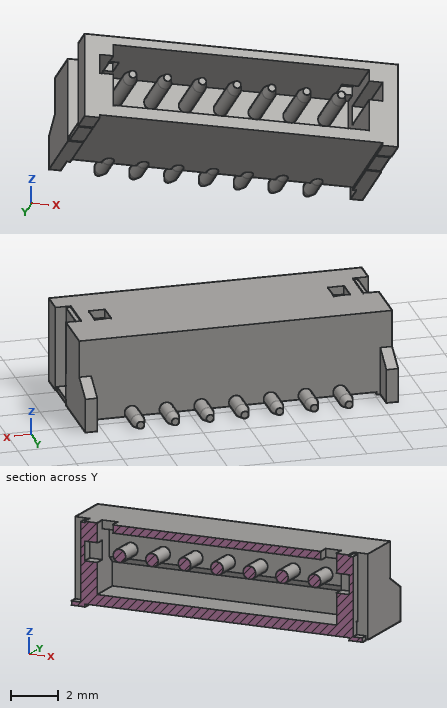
import cadquery as cq

length = 13.51
height = 3.73
body_depth = 5.0
ear_depth = 6.0
total_depth = 6.5
half_length = length / 2

ear_thickness = 0.51
ear_rear_height = 1.5
ear_root_height = 2.11

foot_width = 0.66
relief_height = 0.12

end_wall = 1.24
roof_thickness = 0.38
floor_top = 0.62
cavity_depth = 3.51
undercut_depth = 0.3
undercut_start = 1.97
undercut_full = 1.68
cavity_length = length - 2 * end_wall

keyway_bottom = 2.01
keyway_top = 2.85

window_length = 0.7
window_front = 1.82
window_back = 2.82

slot_front = 1.1
slot_back = 2.81
slot_depth = foot_width
tab_thickness = 0.2
tab_top = 3.67
tab_neck_width = 1.5
tab_neck_height = 0.75
tab_foot_inset = 0.04

pin_count = 7
pin_pitch = 1.5
pin_radius = 0.3
pin_tip_radius = 0.16
pin_taper = total_depth - ear_depth
mating_pin_height = 2.4
mating_pin_front = 0.7
tail_height = pin_radius
tail_bend_radius = 0.4
tail_bend_end = 4.86


def box(x_min, x_max, y_min, y_max, z_min, z_max):
    """Axis-aligned block between two opposite corners."""
    size = (x_max - x_min, y_max - y_min, z_max - z_min)
    return cq.Workplane("XY").box(*size, centered=False).translate((x_min, y_min, z_min))


def both_ends(left_shape):
    """A left-end shape together with its mirror image at the right end."""
    return left_shape.union(left_shape.mirror("YZ"))


def side_prism(points, x_start, width):
    """Side profile of (Y, Z) points extruded along +X."""
    return cq.Workplane("YZ").workplane(offset=x_start).polyline(points).close().extrude(width)


def make_ears():
    profile = [
        (body_depth, 0),
        (ear_depth, 0),
        (ear_depth, ear_rear_height),
        (body_depth, ear_root_height),
    ]
    return both_ends(side_prism(profile, -half_length, ear_thickness))


def make_cavity():
    cavity_top = height - roof_thickness
    undercut_back = cavity_depth + undercut_depth
    profile = [
        (0, floor_top),
        (undercut_back, floor_top),
        (undercut_back, undercut_full),
        (cavity_depth, undercut_start),
        (cavity_depth, cavity_top),
        (0, cavity_top),
    ]
    return side_prism(profile, -cavity_length / 2, cavity_length)


def make_keyways():
    keyway = box(
        -half_length + foot_width, -cavity_length / 2,
        0, window_back,
        keyway_bottom, keyway_top,
    )
    return both_ends(keyway)


def make_windows():
    window_start = -cavity_length / 2
    window = box(
        window_start, window_start + window_length,
        window_front, window_back,
        height - roof_thickness, height,
    )
    return both_ends(window)


def make_side_slots():
    return both_ends(box(-half_length, -half_length + slot_depth, slot_front, slot_back, 0, height))


def make_relief():
    half_relief = half_length - foot_width
    return box(-half_relief, half_relief, 0, body_depth, 0, relief_height)


def make_tabs():
    plate_inner = -half_length + slot_depth
    plate_outer = plate_inner - tab_thickness
    neck_front = (slot_front + slot_back - tab_neck_width) / 2
    neck_back = neck_front + tab_neck_width
    plate = box(plate_outer, plate_inner, slot_front, slot_back, tab_neck_height, tab_top)
    neck = box(plate_outer, plate_inner, neck_front, neck_back, 0, tab_neck_height)
    foot = box(-half_length + tab_foot_inset, plate_inner, neck_front, neck_back, 0, tab_thickness)
    return both_ends(plate.union(neck).union(foot))


def make_pin(root_y, tip_y, x, z):
    """Round pin along Y with a tapered tip, turned about its own axis."""
    direction = 1 if tip_y > root_y else -1
    shoulder_y = tip_y - direction * pin_taper
    half_section = [
        (0, root_y),
        (pin_radius, root_y),
        (pin_radius, shoulder_y),
        (pin_tip_radius, tip_y),
        (0, tip_y),
    ]
    pin = cq.Workplane("XY").polyline(half_section).close().revolve(360, (0, 0, 0), (0, 1, 0))
    return pin.translate((x, 0, z))


def make_tail_bend(x):
    """Quarter bend that carries a tail up into the housing."""
    section = cq.Workplane("XZ", origin=(x, tail_bend_end, tail_height)).circle(pin_radius)
    return section.revolve(90, (0, tail_bend_radius, 0), (-1, tail_bend_radius, 0))


housing = box(-half_length, half_length, 0, body_depth, 0, height).union(make_ears())
for cut in (make_cavity(), make_keyways(), make_windows(), make_side_slots(), make_relief()):
    housing = housing.cut(cut)

result = housing.union(make_tabs())
for index in range(pin_count):
    pin_x = (index - (pin_count - 1) / 2) * pin_pitch
    result = result.union(make_pin(cavity_depth, mating_pin_front, pin_x, mating_pin_height))
    result = result.union(make_pin(tail_bend_end, total_depth, pin_x, tail_height))
    result = result.union(make_tail_bend(pin_x))